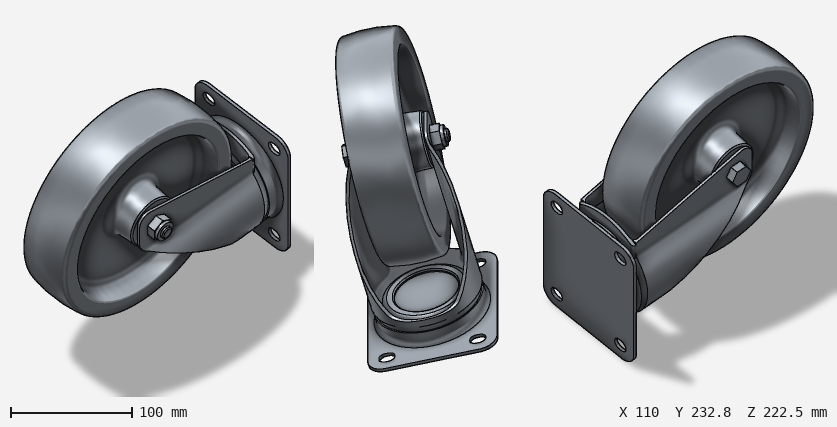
import cadquery as cq
import math


OVERALL_LENGTH = 232.8
OVERALL_HEIGHT = 222.5

PLATE_WIDTH = 110.0
PLATE_HEIGHT = 135.0
PLATE_THICK = 3.0
PLATE_CORNER = 15.0
SLOT_SPACING_X = 77.3
SLOT_SPACING_Z = 105.2
SLOT_LENGTH = 13.7
SLOT_WIDTH = 11.5

RACE_FLARE_RADIUS = 49.5
RACE_RADIUS = 46.8
RACE_FLARE_END = 8.0
RACE_END = 16.3
FLARE_MID_RADIUS = 47.7

FORK_RADIUS = 47.5
FORK_SHEET = 2.5
FORK_LEG_OUTER = 33.5
FORK_LEG_INNER = FORK_LEG_OUTER - FORK_SHEET
FORK_BEND = 9.8
JOINT_MARGIN = 0.2
FORK_BACK_RADIUS = 45.5
FORK_BODY_START = 22.5
FORK_INNER_FILLET = 5.4
CROWN_BACK = 18.9
CROWN_FRONT = 21.9
CROWN_RADIUS = 58.5
CROWN_BEND = 3.5
BOSS_BASE_RADIUS = 37.7
BOSS_TIP_RADIUS = 33.5
BOSS_BORE_RADIUS = 27.5
BOSS_BORE_CHAMFER = 1.2
BOSS_END = 24.5
LEG_BACK_TOP = 50.7
LEG_TOP = 78.7
LEG_END = 152.5
LEG_TOP_CORNER = 10.5
LEG_NOSE_CORNER = 14.0
LEG_END_BOTTOM = 37.2
LIP_END = 28.9
LIP_ARC_MID = (-29.5, -40.7)
LIP_ARC_END = (-32.4, -36.3)
LOWER_EDGE_BREAK = (-65.0, -13.5)

WHEEL_RADIUS = 99.0
AXLE_REACH = OVERALL_LENGTH - WHEEL_RADIUS
AXLE_RISE = OVERALL_HEIGHT - PLATE_HEIGHT / 2 - WHEEL_RADIUS
TREAD_EDGE_RADIUS = 96.4
WHEEL_WIDTH = 50.0
TREAD_FILLET = 3.7
RIM_INNER_RADIUS = 81.0
WEB_OUTER_RADIUS = 77.7
RECESS_FILLET = 7.7
RIM_ROUND = 1.5
WEB_THICK = 8.4
HUB_RADIUS = 24.2
HUB_BASE_RADIUS = 25.8
HUB_LENGTH = 59.8
HUB_EDGE = 1.5

BOLT_DIAMETER = 11.2
BOLT_END = 47.7
BOLT_CHAMFER = 1.2
HEAD_FLATS = 17.7
HEAD_END = 41.2
NUT_FLATS = 18.9
NUT_TURN = 30
NUT_END = 41.7
COLLAR_END = 44.7
COLLAR_RADIUS = 9.0


def along_y(start):
    """Sketch plane seen from -Y, set back by the given distance from the mounting face."""
    return cq.Workplane("XZ").workplane(offset=start)


def along_axle(start):
    """Sketch plane across the axle, with local axes Y and Z, starting at the given X."""
    return cq.Workplane("YZ", origin=(start, -AXLE_REACH, AXLE_RISE))


def make_plate():
    """Rounded mounting plate with a slot near each corner."""
    plate = along_y(0).rect(PLATE_WIDTH, PLATE_HEIGHT).extrude(PLATE_THICK)
    plate = plate.edges("|Y").fillet(PLATE_CORNER)
    slots = (
        along_y(0)
        .rect(SLOT_SPACING_X, SLOT_SPACING_Z, forConstruction=True)
        .vertices()
        .slot2D(SLOT_LENGTH, SLOT_WIDTH)
        .extrude(PLATE_THICK)
    )
    return plate.cut(slots)


def make_race():
    """Round swivel race with a concave flare against the mounting plate."""
    flare_mid = (FLARE_MID_RADIUS, -(PLATE_THICK + RACE_FLARE_END) / 2)
    return (
        cq.Workplane("XY")
        .moveTo(0, -PLATE_THICK)
        .lineTo(RACE_FLARE_RADIUS, -PLATE_THICK)
        .threePointArc(flare_mid, (RACE_RADIUS, -RACE_FLARE_END))
        .lineTo(RACE_RADIUS, -RACE_END)
        .lineTo(0, -RACE_END)
        .close()
        .revolve(360, (0, 0), (0, 1))
    )


def keyhole(radius, half_width, bend, start):
    """Round body running into two parallel flanks, blended where they meet."""
    length = LEG_END - start
    flanks = along_y(start).center(0, LEG_TOP / 2).rect(2 * half_width, LEG_TOP).extrude(length)
    body = along_y(start).circle(radius).extrude(length).union(flanks)
    joint_z = math.sqrt(radius**2 - half_width**2)
    joints = cq.selectors.BoxSelector(
        (-radius, -2 * LEG_END, joint_z - JOINT_MARGIN),
        (radius, 0, joint_z + JOINT_MARGIN),
    )
    return body.edges("|Y").edges(joints).fillet(bend)


def fork_side_outline():
    """Side outline of the fork, as a solid wider than the fork."""
    outline = (
        cq.Workplane("YZ")
        .moveTo(-RACE_END, -FORK_RADIUS)
        .lineTo(-LIP_END, -FORK_RADIUS)
        .threePointArc(LIP_ARC_MID, LIP_ARC_END)
        .lineTo(*LOWER_EDGE_BREAK)
        .lineTo(-LEG_END, LEG_END_BOTTOM)
        .lineTo(-LEG_END, LEG_TOP)
        .lineTo(-FORK_BODY_START, LEG_BACK_TOP)
        .lineTo(-FORK_BODY_START, CROWN_RADIUS)
        .lineTo(-RACE_END, CROWN_RADIUS)
        .close()
        .extrude(2 * FORK_RADIUS, both=True)
    )
    top_corner = cq.selectors.NearestToPointSelector((0, -LEG_END, LEG_TOP))
    outline = outline.edges(top_corner).fillet(LEG_TOP_CORNER)
    nose = cq.selectors.NearestToPointSelector((0, -LEG_END, LEG_END_BOTTOM))
    return outline.edges(nose).fillet(LEG_NOSE_CORNER)


def make_crown():
    """Back of the fork: a shallow cone against the race and the sheet bridging the legs."""
    cone = cq.Workplane(
        cq.Solid.makeCone(
            FORK_BACK_RADIUS,
            FORK_RADIUS,
            FORK_BODY_START - RACE_END,
            pnt=cq.Vector(0, -RACE_END, 0),
            dir=cq.Vector(0, -1, 0),
        )
    )
    depth = FORK_BODY_START - CROWN_BACK
    bridge = (
        along_y(CROWN_BACK)
        .center(0, CROWN_RADIUS / 2)
        .rect(2 * FORK_LEG_OUTER, CROWN_RADIUS)
        .extrude(depth)
        .edges("|Z and >Y")
        .fillet(CROWN_BEND)
    )
    bridge = bridge.intersect(along_y(CROWN_BACK).circle(CROWN_RADIUS).extrude(depth))
    return cone.union(bridge)


def make_boss():
    """Raised bearing seat on the crown with a chamfered shallow bore."""
    return (
        cq.Workplane("XY")
        .moveTo(0, -RACE_END)
        .lineTo(BOSS_BASE_RADIUS, -RACE_END)
        .lineTo(BOSS_BASE_RADIUS, -CROWN_FRONT)
        .lineTo(BOSS_TIP_RADIUS, -BOSS_END)
        .lineTo(BOSS_BORE_RADIUS + BOSS_BORE_CHAMFER, -BOSS_END)
        .lineTo(BOSS_BORE_RADIUS, -BOSS_END + BOSS_BORE_CHAMFER)
        .lineTo(BOSS_BORE_RADIUS, -CROWN_FRONT)
        .lineTo(0, -CROWN_FRONT)
        .close()
        .revolve(360, (0, 0), (0, 1))
    )


def make_fork():
    """Sheet fork: a round shell open toward the wheel, with two flat legs and a crown."""
    outer = keyhole(FORK_RADIUS, FORK_LEG_OUTER, FORK_BEND, FORK_BODY_START).union(make_crown())
    inner = keyhole(
        FORK_RADIUS - FORK_SHEET,
        FORK_LEG_INNER,
        FORK_BEND + FORK_SHEET,
        CROWN_FRONT,
    )
    inner = inner.faces(">Y").edges().fillet(FORK_INNER_FILLET)
    return outer.cut(inner).intersect(fork_side_outline()).union(make_boss())


def make_wheel():
    """Crowned wheel with a recess in each side and a hub longer than the rim is wide."""
    half_width = WHEEL_WIDTH / 2
    half_hub = HUB_LENGTH / 2
    half_web = WEB_THICK / 2
    tread = (
        cq.Workplane("XY")
        .moveTo(-half_width, 0)
        .lineTo(-half_width, TREAD_EDGE_RADIUS)
        .threePointArc((0, WHEEL_RADIUS), (half_width, TREAD_EDGE_RADIUS))
        .lineTo(half_width, 0)
        .close()
        .revolve(360, (0, 0), (1, 0))
    )
    tread = tread.faces("<X or >X").edges().fillet(TREAD_FILLET)
    recess = (
        cq.Workplane("XY")
        .moveTo(half_web, HUB_BASE_RADIUS)
        .lineTo(half_web, WEB_OUTER_RADIUS)
        .lineTo(half_width - RIM_ROUND, RIM_INNER_RADIUS)
        .tangentArcPoint((half_width, RIM_INNER_RADIUS + RIM_ROUND), relative=False)
        .lineTo(half_width, HUB_RADIUS)
        .close()
        .revolve(360, (0, 0), (1, 0))
    )
    recess = recess.faces("<X").edges().fillet(RECESS_FILLET)
    hub = cq.Workplane("YZ").circle(HUB_RADIUS).extrude(half_hub, both=True)
    hub = hub.faces("<X or >X").edges().chamfer(HUB_EDGE)
    wheel = tread.cut(recess).cut(recess.mirror("YZ"))
    return wheel.union(hub).translate((0, -AXLE_REACH, AXLE_RISE))


def hexagon(flats, start, end, turn=0):
    """Hexagonal prism on the axle, with two corners along Y unless turned about the axle."""
    corners = flats / math.cos(math.pi / 6)
    axle_point = (0, -AXLE_REACH, AXLE_RISE)
    axle_second_point = (1, -AXLE_REACH, AXLE_RISE)
    prism = along_axle(start).polygon(6, corners).extrude(end - start)
    return prism.rotate(axle_point, axle_second_point, turn)


def make_bolt():
    """Axle bolt with a hexagon head at -X and a collared nut at +X."""
    shank = along_axle(-HEAD_END).circle(BOLT_DIAMETER / 2).extrude(HEAD_END + BOLT_END)
    shank = shank.faces(">X").chamfer(BOLT_CHAMFER)
    head = hexagon(HEAD_FLATS, -HEAD_END, -FORK_LEG_INNER)
    nut = hexagon(NUT_FLATS, FORK_LEG_INNER, NUT_END, NUT_TURN)
    collar = along_axle(NUT_END).circle(COLLAR_RADIUS).extrude(COLLAR_END - NUT_END)
    return shank.union(head).union(nut).union(collar)


result = make_plate().union(make_race()).union(make_fork()).union(make_wheel()).union(make_bolt())